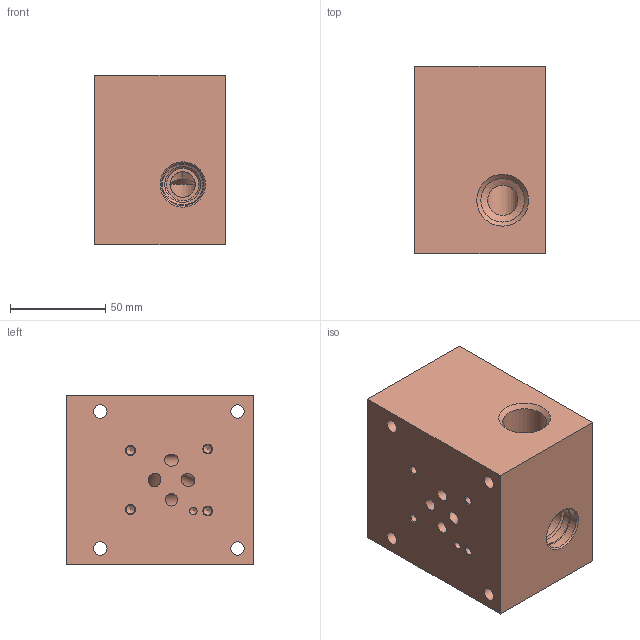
import cadquery as cq
import math

LENGTH_X = 68.28
LENGTH_Y = 98.42
LENGTH_Z = 88.9
MID_Z = LENGTH_Z / 2

TIP_HALF_ANGLE = math.radians(59)
OVERRUN = 1.0

MOUNT_DIAMETER = 7.1
MOUNT_PITCH = 72.0
MOUNT_FIRST_Y = 8.55

INTERFACE_Y = 64.7
INTERFACE_MIDLINE_DROP = 15.5
INTERFACE_Z = MID_Z + INTERFACE_MIDLINE_DROP
BOLT_OFFSETS = [(0, 0), (40.5, -0.75), (40.5, 31.75), (0, 31.0)]
BOLT_DIAMETER = 4.3
BOLT_MOUTH_DIAMETER = 5.2
BOLT_DEPTH = 15.0
PIN_OFFSET = (33.0, 31.75)
PIN_DIAMETER = 4.0
PIN_DEPTH = 6.0
PASSAGE_DIAMETER = 6.5
PASSAGE_P_OFFSET = (21.5, 25.9)
PASSAGE_A_OFFSET = (12.7, INTERFACE_MIDLINE_DROP)
PASSAGE_B_OFFSET = (30.2, INTERFACE_MIDLINE_DROP)
PASSAGE_T_OFFSET = (21.5, 5.1)

PASSAGE_P_LEAN = (0, 0)
PASSAGE_A_LEAN = (7.5, -23.4)
PASSAGE_B_LEAN = (22.0, 9.7)
PASSAGE_T_LEAN = (-20.7, 0)
PASSAGES = [
    (PASSAGE_P_OFFSET, PASSAGE_P_LEAN),
    (PASSAGE_A_OFFSET, PASSAGE_A_LEAN),
    (PASSAGE_B_OFFSET, PASSAGE_B_LEAN),
    (PASSAGE_T_OFFSET, PASSAGE_T_LEAN),
]

PORT_X = 46.05

TOP_PORT_Y = 28.0
BOTTOM_PORT_Y = 59.5
PORT_MOUTH_RADIUS = 13.6
PORT_THREAD_RADIUS = 11.45
PORT_DRILL_RADIUS = 7.95
PORT_MOUTH_DEPTH = PORT_MOUTH_RADIUS - PORT_THREAD_RADIUS
PORT_THREAD_DEPTH = 20.0

CAVITY_Z = 31.6
CAVITY_MOUTH_RADIUS = 11.9
CAVITY_RELIEF_RADIUS = 11.15
CAVITY_THREAD_RADIUS = 10.7
CAVITY_SEAL_RADIUS = 9.4
CAVITY_BORE_RADIUS = 8.5
CAVITY_MOUTH_DEPTH = 0.75
CAVITY_RELIEF_DEPTH = 5.1
CAVITY_THREAD_START = 5.4
CAVITY_THREAD_DEPTH = 9.4
CAVITY_SEAL_START = 10.2
CAVITY_SEAL_DEPTH = 16.0
CAVITY_BORE_DEPTH = 38.1
CAVITY_NOSE_RADIUS = 6.7
CAVITY_NOSE_OVERLAP = 0.9
CAVITY_NOSE_DEPTH = BOTTOM_PORT_Y + CAVITY_NOSE_OVERLAP


def cone_height(large_radius, small_radius=0.0):
    """Length of the cone a drill tip leaves between two radii."""
    return (large_radius - small_radius) / math.tan(TIP_HALF_ANGLE)


def revolved_bore(profile, origin, direction):
    """Cutter turned from (radius, depth) points, entering at origin along direction."""
    outline = [(0, -OVERRUN), (profile[0][0], -OVERRUN)] + profile
    turned = cq.Workplane("XZ").polyline(outline).close().revolve(360, (0, 0), (0, 1))
    placement = cq.Plane(origin=origin, normal=direction)
    return turned.val().moved(cq.Location(placement))


def drilled_hole(diameter, depth, origin, direction=(1, 0, 0)):
    """Blind drilled hole whose full diameter reaches the given depth."""
    radius = diameter / 2
    profile = [(radius, depth), (0, depth + cone_height(radius))]
    return revolved_bore(profile, origin, direction)


def interface_point(offset):
    return (0, INTERFACE_Y - offset[0], INTERFACE_Z - offset[1])


def mounting_holes():
    holes = []
    for y in (MOUNT_FIRST_Y, MOUNT_FIRST_Y + MOUNT_PITCH):
        for side in (-1, 1):
            z = MID_Z + side * MOUNT_PITCH / 2
            holes.append(drilled_hole(MOUNT_DIAMETER, LENGTH_X + OVERRUN, (0, y, z)))
    return holes


def bolt_hole(offset):
    mouth = BOLT_MOUTH_DIAMETER / 2
    radius = BOLT_DIAMETER / 2
    profile = [
        (mouth, 0),
        (radius, mouth - radius),
        (radius, BOLT_DEPTH),
        (0, BOLT_DEPTH + cone_height(radius)),
    ]
    return revolved_bore(profile, interface_point(offset), (1, 0, 0))


def passage(offset, lean):
    """Drilled passage from the interface to the port plane, leaning in Y and Z."""
    start = cq.Vector(*interface_point(offset))
    run = cq.Vector(PORT_X, *lean)
    unit = run.normalized()
    lead = PASSAGE_DIAMETER / 2
    entry = start - unit * lead
    return drilled_hole(PASSAGE_DIAMETER, run.Length + lead, entry, unit)


def cavity():
    profile = [
        (CAVITY_MOUTH_RADIUS, 0),
        (CAVITY_RELIEF_RADIUS, CAVITY_MOUTH_DEPTH),
        (CAVITY_RELIEF_RADIUS, CAVITY_RELIEF_DEPTH),
        (CAVITY_THREAD_RADIUS, CAVITY_THREAD_START),
        (CAVITY_THREAD_RADIUS, CAVITY_THREAD_DEPTH),
        (CAVITY_SEAL_RADIUS, CAVITY_SEAL_START),
        (CAVITY_SEAL_RADIUS, CAVITY_SEAL_DEPTH),
        (CAVITY_BORE_RADIUS, CAVITY_SEAL_DEPTH + CAVITY_SEAL_RADIUS - CAVITY_BORE_RADIUS),
        (CAVITY_BORE_RADIUS, CAVITY_BORE_DEPTH),
        (CAVITY_NOSE_RADIUS, CAVITY_BORE_DEPTH),
        (CAVITY_NOSE_RADIUS, CAVITY_NOSE_DEPTH),
        (0, CAVITY_NOSE_DEPTH + cone_height(CAVITY_NOSE_RADIUS)),
    ]
    return revolved_bore(profile, (PORT_X, 0, CAVITY_Z), (0, 1, 0))


def threaded_port(y, face_z, direction):
    """Countersunk port whose pilot drill reaches the height of the cavity axis."""
    drill_depth = abs(face_z - CAVITY_Z)
    profile = [
        (PORT_MOUTH_RADIUS, 0),
        (PORT_THREAD_RADIUS, PORT_MOUTH_DEPTH),
        (PORT_THREAD_RADIUS, PORT_THREAD_DEPTH),
        (PORT_DRILL_RADIUS, PORT_THREAD_DEPTH + cone_height(PORT_THREAD_RADIUS, PORT_DRILL_RADIUS)),
        (PORT_DRILL_RADIUS, drill_depth),
        (0, drill_depth + cone_height(PORT_DRILL_RADIUS)),
    ]
    return revolved_bore(profile, (PORT_X, y, face_z), direction)


cutters = mounting_holes()
cutters += [bolt_hole(offset) for offset in BOLT_OFFSETS]
cutters.append(drilled_hole(PIN_DIAMETER, PIN_DEPTH, interface_point(PIN_OFFSET)))
cutters.append(cavity())
cutters.append(threaded_port(TOP_PORT_Y, LENGTH_Z, (0, 0, -1)))
cutters.append(threaded_port(BOTTOM_PORT_Y, 0, (0, 0, 1)))
cutters += [passage(offset, lean) for offset, lean in PASSAGES]

block = cq.Workplane("XY").box(LENGTH_X, LENGTH_Y, LENGTH_Z, centered=False)
result = cq.Workplane(block.val().cut(*cutters))